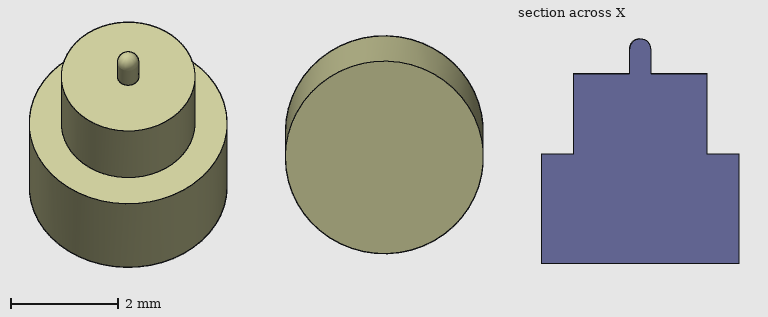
import cadquery as cq

total_height = 4.2
base_diameter = 3.7
collar_diameter = 2.5
pin_diameter = 0.405

base_height = 2.05
collar_height = 1.5
collar_top = base_height + collar_height
pin_height = total_height - collar_top

tip_radius = 0.195


def cylinder(diameter, height, bottom):
    """Upright cylinder on the Z axis, starting at the given height."""
    return cq.Workplane("XY").workplane(offset=bottom).circle(diameter / 2).extrude(height)


base = cylinder(base_diameter, base_height, 0)
collar = cylinder(collar_diameter, collar_height, base_height)
pin = cylinder(pin_diameter, pin_height, collar_top).faces(">Z").edges().fillet(tip_radius)

result = base.union(collar).union(pin)